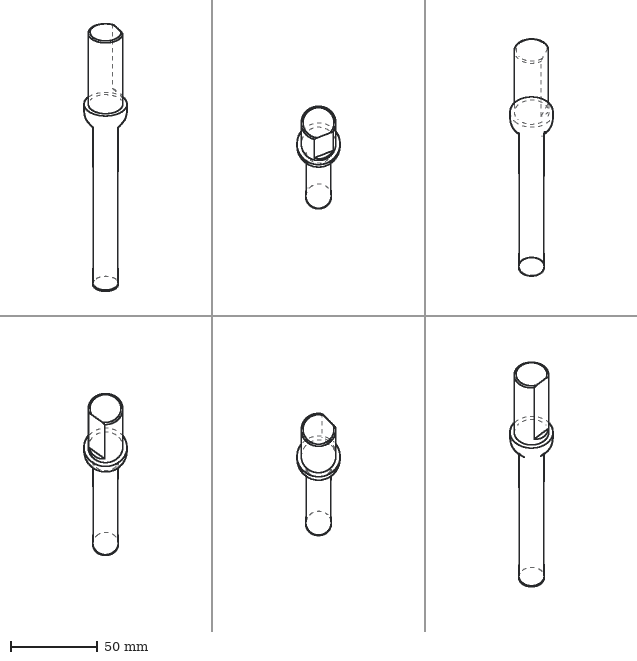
import cadquery as cq

total_length = 176.0
collar_top = 126.0
collar_bottom = 121.0
flare_bottom = 108.0
upper_neck_bottom = 103.3
body_top = 65.3
body_bottom = 12.5
lower_neck_top = 9.9
holder_bottom = 1.4
tip_rise = 0.4

shank_radius = 20.0 / 2
collar_radius = 25.0 / 2
body_radius = 14.5 / 2
neck_radius = 14.6 / 2
cutter_radius = 15.0 / 2

end_chamfer_width = 1.0
end_chamfer_height = 0.7
flat_offset = 8.1
flat_start = collar_top + 3.9
ramp_height = 1.0


def make_holder_revolve():
    """Shank, collar, flare and stem as one revolved profile."""
    flare_middle = (collar_bottom + flare_bottom) / 2
    flare_curve = [
        (collar_radius, collar_bottom),
        (collar_radius, flare_middle),
        (neck_radius, flare_middle),
        (neck_radius, flare_bottom),
    ]
    return (
        cq.Workplane("XZ")
        .moveTo(0, total_length)
        .lineTo(shank_radius - end_chamfer_width, total_length)
        .lineTo(shank_radius, total_length - end_chamfer_height)
        .lineTo(shank_radius, collar_top)
        .lineTo(collar_radius, collar_top)
        .lineTo(collar_radius, collar_bottom)
        .bezier(flare_curve)
        .lineTo(neck_radius, upper_neck_bottom)
        .lineTo(body_radius, body_top)
        .lineTo(body_radius, body_bottom)
        .lineTo(neck_radius, lower_neck_top)
        .lineTo(neck_radius, holder_bottom)
        .lineTo(0, holder_bottom)
        .close()
        .revolve(360, (0, 0, 0), (0, 1, 0))
    )


def make_flat_cut():
    """Block that leaves the clamping flat, with a ramp at its lower end."""
    return (
        cq.Workplane("YZ")
        .polyline([
            (flat_offset, flat_start + ramp_height),
            (shank_radius, flat_start),
            (collar_radius, flat_start),
            (collar_radius, total_length),
            (flat_offset, total_length),
        ])
        .close()
        .extrude(shank_radius, both=True)
    )


def make_cutting_head():
    """Thin cutting disc with a full-round rim and a shallow point, seated under the holder."""
    rim_round = (holder_bottom - tip_rise) / 2
    rim_center = cutter_radius - rim_round
    return (
        cq.Workplane("XZ")
        .moveTo(0, 0)
        .lineTo(rim_center, tip_rise)
        .threePointArc((cutter_radius, tip_rise + rim_round), (rim_center, holder_bottom))
        .lineTo(0, holder_bottom)
        .close()
        .revolve(360, (0, 0, 0), (0, 1, 0))
    )


holder = make_holder_revolve().cut(make_flat_cut())
cutting_head = make_cutting_head()

result = cq.Compound.makeCompound([holder.val(), cutting_head.val()])